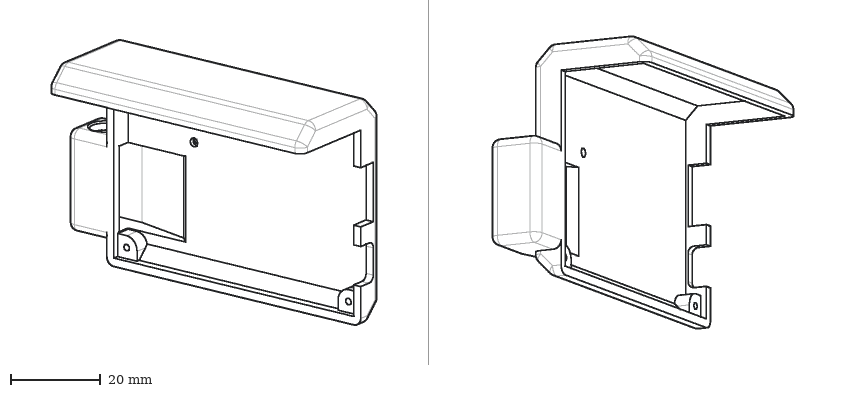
import cadquery as cq
import math

LENGTH = 70.9
DEPTH = 28.9
HEIGHT = 52.5
WALL = 2.0
ROUND = 2.0
INNER_CHAMFER = 3.0
OUTER_CHAMFER = INNER_CHAMFER + WALL * (2 - math.sqrt(2))

SPLIT_Y = 21.7
LIP_HEIGHT = 6.4

HOLDER_LEFT = -11.12
HOLDER_BACK = 33.9
HOLDER_BOTTOM = 5.65
HOLDER_HEIGHT = 24.1
RAMP_START = 2.0
RAMP_END = 21.0
INNER_RAMP_END = 16.1
HOLDER_HOLE_DIAMETER = 7.0
HOLDER_HOLE_CHAMFER = 0.4
HOLDER_HOLE_INSET = 6.0
HOLDER_HOLE_X = HOLDER_LEFT + HOLDER_HOLE_INSET
HOLDER_HOLE_Y = HOLDER_BACK - HOLDER_HOLE_INSET

POST_SIZE = 5.4
POST_ROUND = 3.0
POST_RECESS = 1.4
POST_HOLE_DIAMETER = 1.5
POST_HOLE_DEPTH = 2.5
POST_HOLE_X = 4.5
POST_HOLE_Z = 4.6

VENT_X = 20.4
VENT_Z = 31.5
VENT_DIAMETER = 1.0
VENT_COUNTERBORE_DIAMETER = 2.0
VENT_COUNTERBORE_DEPTH = 1.0

NOTCH_DEPTH = 4.6
LOWER_NOTCH_BOTTOM = 9.4
LOWER_NOTCH_TOP = 18.8
LOWER_NOTCH_ROUND = 1.5
UPPER_NOTCH_BOTTOM = 23.4
UPPER_NOTCH_TOP = 37.3


def block(x0, x1, y0, y1, z0, z1):
    """Box between two opposite corners."""
    return cq.Workplane("XY").box(x1 - x0, y1 - y0, z1 - z0, centered=False).translate((x0, y0, z0))


def chamfered_box(inset, chamfer):
    """Enclosure box drawn in by inset, its long edges chamfered."""
    box = block(inset, LENGTH - inset, inset, DEPTH - inset, inset, HEIGHT - inset)
    return box.edges("|X").chamfer(chamfer)


def plan_prism(points, z0, z1):
    """Upright prism on a plan outline."""
    return cq.Workplane("XY").workplane(offset=z0).polyline(points).close().extrude(z1 - z0)


def holder_body():
    """Rounded holder block with its ramp, reaching into the enclosure."""
    slope = (HOLDER_BACK - DEPTH) / (RAMP_END - RAMP_START)
    buried_y = DEPTH - WALL
    buried_x = RAMP_END + WALL / slope
    outline = [
        (HOLDER_LEFT, SPLIT_Y),
        (HOLDER_LEFT, HOLDER_BACK),
        (RAMP_START, HOLDER_BACK),
        (buried_x, buried_y),
        (buried_x, SPLIT_Y),
    ]
    prism = plan_prism(outline, HOLDER_BOTTOM, HOLDER_BOTTOM + HOLDER_HEIGHT)
    return prism.edges("(|Z and <X) or #Z").fillet(ROUND)


def holder_cavity():
    """Inside of the holder, opening into the enclosure past a 45 degree end."""
    outline = [
        (HOLDER_LEFT + WALL, SPLIT_Y + WALL),
        (HOLDER_LEFT + WALL, HOLDER_BACK - WALL),
        (RAMP_START, HOLDER_BACK - WALL),
        (INNER_RAMP_END, DEPTH),
        (INNER_RAMP_END + WALL, DEPTH - WALL),
        (INNER_RAMP_END + WALL, SPLIT_Y + WALL),
    ]
    return plan_prism(outline, HOLDER_BOTTOM + WALL, HOLDER_BOTTOM + HOLDER_HEIGHT - WALL)


def holder_hole():
    """Hole down through the holder's top wall, its rim chamfered."""
    top = HOLDER_BOTTOM + HOLDER_HEIGHT
    radius = HOLDER_HOLE_DIAMETER / 2
    hole = cq.Workplane("XY").circle(radius).extrude(-WALL)
    rim = cq.Solid.makeCone(
        radius, radius + HOLDER_HOLE_CHAMFER, HOLDER_HOLE_CHAMFER, pnt=cq.Vector(0, 0, -HOLDER_HOLE_CHAMFER))
    return hole.union(cq.Workplane(rim)).translate((HOLDER_HOLE_X, HOLDER_HOLE_Y, top))


def round_bore(diameter, x, z, y0, length):
    """Cylinder running towards +Y from y0."""
    return cq.Workplane(cq.Solid.makeCylinder(
        diameter / 2, length, cq.Vector(x, y0, z), cq.Vector(0, 1, 0)))


def left_post():
    """Lower left screw post, sunk into the bottom and left walls."""
    front = SPLIT_Y + POST_RECESS
    inner = WALL + POST_SIZE
    post = block(WALL / 2, inner, front, DEPTH - WALL / 2, WALL / 2, inner)
    post = post.edges("|Y and >X and >Z").fillet(POST_ROUND)
    return post.cut(round_bore(POST_HOLE_DIAMETER, POST_HOLE_X, POST_HOLE_Z, front, POST_HOLE_DEPTH))


def notch(z0, z1):
    """Slot through the right end wall."""
    return block(LENGTH - WALL, LENGTH + WALL, SPLIT_Y, SPLIT_Y + NOTCH_DEPTH, z0, z1)


outer = chamfered_box(0, OUTER_CHAMFER).edges().fillet(ROUND)
cavity = chamfered_box(WALL, INNER_CHAMFER)
lid_space = block(0, LENGTH, 0, SPLIT_Y, 0, HEIGHT - LIP_HEIGHT)

post_left = left_post()
post_right = post_left.mirror("YZ").translate((LENGTH, 0, 0))
cavity = cavity.cut(post_left).cut(post_right)

vent = round_bore(VENT_DIAMETER, VENT_X, VENT_Z, DEPTH - WALL, WALL)
vent_counterbore = round_bore(
    VENT_COUNTERBORE_DIAMETER, VENT_X, VENT_Z, DEPTH - WALL, VENT_COUNTERBORE_DEPTH)

lower_notch = notch(LOWER_NOTCH_BOTTOM, LOWER_NOTCH_TOP).edges("|X and >Y").fillet(LOWER_NOTCH_ROUND)
upper_notch = notch(UPPER_NOTCH_BOTTOM, UPPER_NOTCH_TOP)

shell = outer.cut(lid_space).union(holder_body()).cut(cavity)
shell = shell.cut(holder_cavity()).cut(holder_hole())
result = shell.cut(vent).cut(vent_counterbore).cut(lower_notch).cut(upper_notch)